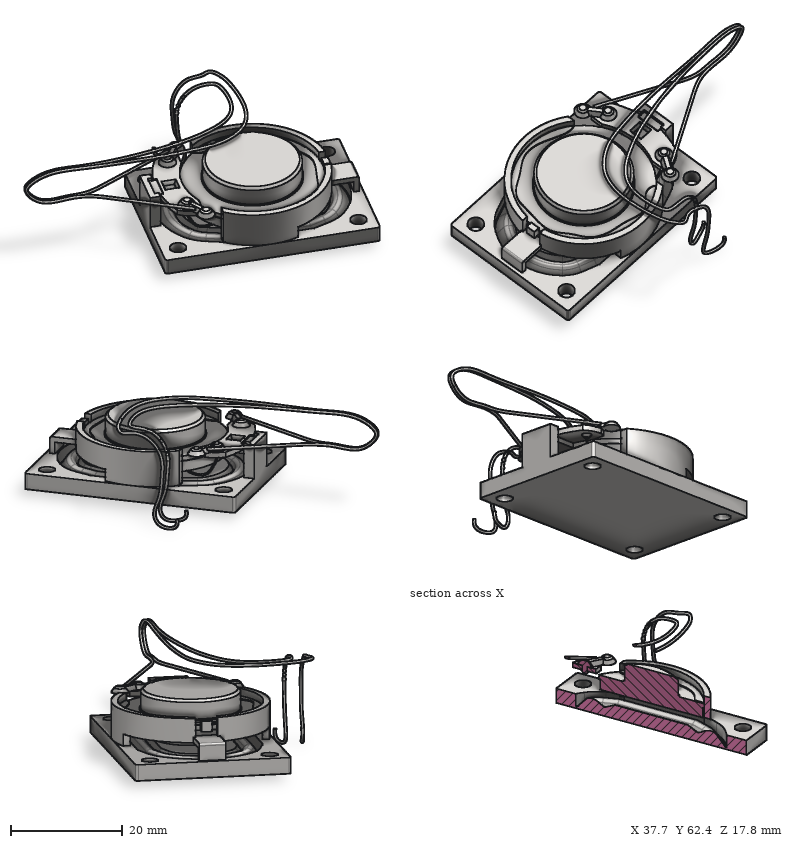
import cadquery as cq
import math

PLATE_WIDTH = 28.6
PLATE_LENGTH = 40.0
PLATE_TOP = 3.0
PLATE_CORNER_RADIUS = 0.5
MOUNT_HOLE_DIAMETER = 3.0
MOUNT_HOLE_X = 11.0
MOUNT_HOLE_Y = 16.8

WALL_OUTER_RADIUS = PLATE_WIDTH / 2
WALL_INNER_RADIUS = 13.1
WALL_TOP = 9.65
WALL_FRONT_Y = -8.5
WALL_RAISED_FROM_Y = 4.9
WALL_RAISED_BOTTOM = 5.2
WALL_NOTCH_WIDTH = 4.1

BRACKET_WIDTH = 4.9
BRACKET_THICKNESS = 1.0
BRACKET_BACK_Y = 19.25
BRACKET_TOP = WALL_RAISED_BOTTOM + BRACKET_THICKNESS
BRACKET_EDGE_RADIUS = 0.4

POST_WIDTH = 7.1
POST_DEPTH = 1.95
POST_TOP = 9.45
POST_INNER_Y = POST_DEPTH - PLATE_LENGTH / 2
TAB_WIDTH = 4.8
TAB_END_Y = POST_INNER_Y - 0.8

RECESS_END_CENTER_Y = 5.75
RECESS_END_RADIUS = 12.25
RECESS_CORNER_RADIUS = 8.0
RECESS_SIDE_ANGLE = 19.5
RECESS_SIDE_DISTANCE = 11.73
RECESS_HALF_WIDTH = 11.5
RIDGE_TOP = 2.97
RIDGE_TAPER = 36
RIDGE_GAP = 0.15
RIDGE_RUN = 1.8
RIDGE_CREST_WIDTH = 1.06
RIDGE_CREST_RADIUS = 1.02
RIDGE_SLOPE = 1 / math.tan(math.radians(RIDGE_TAPER))
RECESS_FLOOR = RIDGE_TOP - RIDGE_RUN * RIDGE_SLOPE
PLATEAU_TOP = 2.9
PLATEAU_INSET = 4.5

SPEAKER_BOTTOM = 5.1
FLANGE_BOTTOM = 7.15
FLANGE_TOP = 8.1
BASKET_RADIUS = 12.9
PEDESTAL_RADIUS = 6.7
MAGNET_RADIUS = 9.0
MAGNET_TOP = 11.88
MAGNET_CHAMFER = 0.5
COLLAR_RADIUS = 9.2
COLLAR_TOP = 8.3
REAR_TAB_WIDTH = 1.9
REAR_TAB_TOP = 9.1
BOARD_TOP = 9.1
BOARD_RADIUS = 18.0
BOARD_CORNER_X = 7.95
BOARD_SIDE_X = 9.13
BOARD_SIDE_Y = -12.6
BOARD_SIDE_MID = (8.93, -14.2)
BOARD_INNER_X = 8.7
BOARD_INNER_Y = -11.6
BOARD_STEP_Y = -17.2
BOARD_TAB_TOP = 8.85
BOARD_POCKET_SIZE = 2.7
BOARD_POCKET_Y = -15.25
BOARD_POCKET_DEPTH = 0.8
BOARD_POCKET_TAPER = 25

GLUE_TOP = COLLAR_TOP

SOLDER_OUTER = (10.56, -11.45)
SOLDER_INNER = (6.8, -14.0)
SOLDER_BASE_RADIUS = 1.6
SOLDER_CROWN_RADIUS = 0.65
SOLDER_TOP = 10.2
SOLDER_SHOULDER_RADIUS = 1.05
SOLDER_SHOULDER_TOP = 9.9
SOLDER_BRIDGE_WIDTH = 1.9
SOLDER_BRIDGE_TOP = 10.0
SOLDER_BRIDGE_TAPER = 30
SOLDER_PIN_RADIUS = 0.5
SOLDER_CONE_RADIUS = 0.9
SOLDER_CONE_TIP_RADIUS = 0.4
SOLDER_CONE_BOTTOM = 7.55

LEAD_DIAMETER = 0.55
BRAID_DIAMETER = 0.3
LEAD_PAIR_X = 0.29
LEAD_LOW_Z = 9.76
LEAD_HIGH_Z = 15.95
FAN_START = (9.4, -13.1)
FAN_END = (1.8, -27.6)
LONG_DROP_X = -22.2
LONG_HOOK_X = -23.11
SHORT_DROP_X = -19.1
SHORT_HOOK_X = -18.1
LONG_RUN = [
    (0.5, -21.2),
    (0.38, -15.6),
    (-0.1, -10.2),
    (-1.0, -5.7),
    (-2.7, -2.5),
    (-4.8, -0.4),
    (-7.6, 0.9),
    (-10.4, 1.38),
    (-14.3, 1.3),
    (-18.4, 0.65),
    (-21.6, -0.6),
    (-22.75, -1.9),
    (-22.2, -3.2),
]
SHORT_RUN = [
    (-1.35, -19.3),
    (-2.4, -14.2),
    (-3.75, -9.7),
    (-5.3, -6.15),
    (-7.15, -3.3),
    (-9.5, -1.45),
    (-12.3, -0.7),
    (-14.9, -0.7),
    (-17.3, -1.1),
    (-18.8, -1.9),
    (-19.15, -3.2),
]


def cylinder(radius, bottom, top):
    return cq.Workplane("XY", origin=(0, 0, bottom)).circle(radius).extrude(top - bottom)


def block(width, y_from, y_to, bottom, top):
    """A box centred on X."""
    return (
        cq.Workplane("XY", origin=(0, (y_from + y_to) / 2, bottom))
        .box(width, abs(y_to - y_from), top - bottom, centered=(True, True, False))
    )


def recess_outline(z):
    """Arc ends blended by tangent corner arcs into slanted sides, alike front and back."""
    angle = math.radians(RECESS_SIDE_ANGLE)
    normal = (math.cos(angle), math.sin(angle))
    along = (-math.sin(angle), math.cos(angle))
    reach = RECESS_END_RADIUS - RECESS_CORNER_RADIUS
    outward = RECESS_SIDE_DISTANCE - RECESS_CORNER_RADIUS
    lift = math.sqrt(reach**2 - outward**2)
    center_x = normal[0] * outward + along[0] * lift
    center_y = RECESS_END_CENTER_Y + normal[1] * outward + along[1] * lift

    def corner_point(direction):
        x = center_x + RECESS_CORNER_RADIUS * math.cos(direction)
        y = center_y + RECESS_CORNER_RADIUS * math.sin(direction)
        return x, y

    end_direction = math.atan2(center_y - RECESS_END_CENTER_Y, center_x)
    shoulder_x, shoulder_y = corner_point(end_direction)
    mid_x, mid_y = corner_point((end_direction + angle) / 2)
    corner_x, corner_y = corner_point(angle)
    waist_x = RECESS_HALF_WIDTH
    waist_y = corner_y - (waist_x - corner_x) / math.tan(angle)
    end_y = RECESS_END_CENTER_Y + RECESS_END_RADIUS
    return (
        cq.Workplane("XY", origin=(0, 0, z))
        .moveTo(-shoulder_x, shoulder_y)
        .threePointArc((0, end_y), (shoulder_x, shoulder_y))
        .threePointArc((mid_x, mid_y), (corner_x, corner_y))
        .lineTo(waist_x, waist_y)
        .lineTo(waist_x, -waist_y)
        .lineTo(corner_x, -corner_y)
        .threePointArc((mid_x, -mid_y), (shoulder_x, -shoulder_y))
        .threePointArc((0, -end_y), (-shoulder_x, -shoulder_y))
        .threePointArc((-mid_x, -mid_y), (-corner_x, -corner_y))
        .lineTo(-waist_x, -waist_y)
        .lineTo(-waist_x, waist_y)
        .lineTo(-corner_x, corner_y)
        .threePointArc((-mid_x, mid_y), (-shoulder_x, shoulder_y))
        .close()
    )


def tapered_island(top, top_inset):
    """A block on the recess floor whose sloping sides end at the given inset from the recess rim."""
    base_inset = top_inset - (top - RECESS_FLOOR) / RIDGE_SLOPE
    return (
        recess_outline(RECESS_FLOOR)
        .offset2D(-base_inset)
        .extrude(top - RECESS_FLOOR, taper=RIDGE_TAPER)
    )


def recess():
    """The space cut out of the plate: a pit less the rounded ridge and the plateau inside it."""
    crest_inset = RIDGE_GAP + RIDGE_RUN
    bowl = (
        recess_outline(RIDGE_TOP)
        .offset2D(-crest_inset - RIDGE_CREST_WIDTH)
        .extrude(RECESS_FLOOR - RIDGE_TOP, taper=RIDGE_TAPER)
    )
    ridge = tapered_island(RIDGE_TOP, crest_inset).cut(bowl)
    ridge = ridge.faces(">Z").edges().fillet(RIDGE_CREST_RADIUS)
    plateau = tapered_island(PLATEAU_TOP, PLATEAU_INSET)
    pit = recess_outline(RECESS_FLOOR).extrude(PLATE_TOP - RECESS_FLOOR)
    return pit.cut(ridge).cut(plateau)


def make_housing():
    plate = (
        cq.Workplane("XY")
        .box(PLATE_WIDTH, PLATE_LENGTH, PLATE_TOP, centered=(True, True, False))
        .edges("|Z")
        .fillet(PLATE_CORNER_RADIUS)
        .cut(recess())
        .faces("<Z")
        .workplane(origin=(0, 0, 0))
        .rect(2 * MOUNT_HOLE_X, 2 * MOUNT_HOLE_Y, forConstruction=True)
        .vertices()
        .hole(MOUNT_HOLE_DIAMETER)
    )
    wall = cylinder(WALL_OUTER_RADIUS, PLATE_TOP, WALL_TOP)
    wall = wall.cut(cylinder(WALL_INNER_RADIUS, PLATE_TOP, WALL_TOP))
    wall = wall.cut(block(PLATE_WIDTH, WALL_FRONT_Y, -PLATE_LENGTH / 2, PLATE_TOP, WALL_TOP))
    wall = wall.cut(
        block(PLATE_WIDTH, WALL_RAISED_FROM_Y, PLATE_LENGTH / 2, PLATE_TOP, WALL_RAISED_BOTTOM)
    )
    wall = wall.cut(block(WALL_NOTCH_WIDTH, 0, PLATE_LENGTH / 2, BRACKET_TOP, WALL_TOP))

    bracket = block(BRACKET_WIDTH, 0, BRACKET_BACK_Y, PLATE_TOP, BRACKET_TOP)
    bracket = bracket.edges(">Y and >Z").fillet(BRACKET_EDGE_RADIUS)
    bracket = bracket.cut(
        block(BRACKET_WIDTH, 0, BRACKET_BACK_Y - BRACKET_THICKNESS, PLATE_TOP, WALL_RAISED_BOTTOM)
    )
    bracket = bracket.cut(cylinder(WALL_INNER_RADIUS, PLATE_TOP, BRACKET_TOP))

    post = block(POST_WIDTH, -PLATE_LENGTH / 2, POST_INNER_Y, 0, POST_TOP)
    post = post.cut(block(TAB_WIDTH, TAB_END_Y, POST_INNER_Y, FLANGE_BOTTOM, POST_TOP))
    return plate.union(wall).union(bracket).union(post)


def make_board():
    """The terminal board: a crescent in front of the basket with a tapered pocket and solder holes."""
    mid_x, mid_y = BOARD_SIDE_MID
    corner_y = -math.sqrt(BOARD_RADIUS**2 - BOARD_CORNER_X**2)
    board = (
        cq.Workplane("XY", origin=(0, 0, FLANGE_TOP))
        .moveTo(-BOARD_CORNER_X, corner_y)
        .threePointArc((0, -BOARD_RADIUS), (BOARD_CORNER_X, corner_y))
        .threePointArc((mid_x, mid_y), (BOARD_SIDE_X, BOARD_SIDE_Y))
        .lineTo(BOARD_INNER_X, BOARD_INNER_Y)
        .lineTo(-BOARD_INNER_X, BOARD_INNER_Y)
        .lineTo(-BOARD_SIDE_X, BOARD_SIDE_Y)
        .threePointArc((-mid_x, mid_y), (-BOARD_CORNER_X, corner_y))
        .close()
        .extrude(BOARD_TOP - FLANGE_TOP)
        .cut(cylinder(WALL_INNER_RADIUS, FLANGE_TOP, BOARD_TOP))
    )
    board = board.cut(block(TAB_WIDTH, -BOARD_RADIUS, BOARD_STEP_Y, FLANGE_TOP, BOARD_TOP))
    board = board.union(block(TAB_WIDTH, TAB_END_Y, BOARD_STEP_Y, FLANGE_TOP, BOARD_TAB_TOP))
    pocket = (
        cq.Workplane("XY", origin=(0, BOARD_POCKET_Y, BOARD_TOP))
        .rect(BOARD_POCKET_SIZE, BOARD_POCKET_SIZE)
        .extrude(-BOARD_POCKET_DEPTH, taper=BOARD_POCKET_TAPER)
    )
    board = board.cut(pocket)
    for side in (-1, 1):
        x, y = SOLDER_INNER
        hole = cylinder(SOLDER_PIN_RADIUS, FLANGE_TOP, BOARD_TOP)
        board = board.cut(hole.translate((side * x, y, 0)))
    return board


def make_speaker():
    basket = cylinder(BASKET_RADIUS, SPEAKER_BOTTOM, FLANGE_BOTTOM)
    flange = cylinder(WALL_INNER_RADIUS, FLANGE_BOTTOM, FLANGE_TOP)
    magnet = cylinder(MAGNET_RADIUS, FLANGE_BOTTOM, MAGNET_TOP)
    magnet = magnet.faces(">Z").chamfer(MAGNET_CHAMFER)
    collar = cylinder(COLLAR_RADIUS, FLANGE_BOTTOM, COLLAR_TOP)
    pedestal = cylinder(PEDESTAL_RADIUS, PLATEAU_TOP, SPEAKER_BOTTOM)
    rear_tab = block(REAR_TAB_WIDTH, 0, WALL_OUTER_RADIUS, FLANGE_BOTTOM, REAR_TAB_TOP)
    rear_tab = rear_tab.cut(cylinder(WALL_INNER_RADIUS, FLANGE_TOP, REAR_TAB_TOP))
    front_tab = block(TAB_WIDTH, TAB_END_Y, 0, FLANGE_BOTTOM, FLANGE_TOP)
    speaker = basket.union(flange).union(magnet).union(collar).union(pedestal)
    return speaker.union(rear_tab).union(front_tab).union(make_board())


def make_glue():
    """A thin bead lying along the cradle wall with a free-form inner edge."""
    start_x = math.sqrt(WALL_INNER_RADIUS**2 - WALL_FRONT_Y**2)
    inner_edge = [
        (9.8, -7.3),
        (10.95, -3.75),
        (12.25, 0.0),
        (11.95, 2.9),
        (10.2, 5.75),
        (8.6, 8.6),
        (6.8, 10.3),
        (3.4, 11.1),
        (-1.2, 11.8),
        (-2.6, 11.6),
        (-5.7, 9.75),
        (-8.7, 8.0),
        (-10.5, 4.9),
        (-11.2, 1.2),
        (-11.8, -3.3),
        (-9.5, -6.3),
        (-9.65, -8.2),
    ]
    return (
        cq.Workplane("XY", origin=(0, 0, FLANGE_TOP))
        .moveTo(-start_x, WALL_FRONT_Y)
        .threePointArc((0, WALL_INNER_RADIUS), (start_x, WALL_FRONT_Y))
        .spline(inner_edge, includeCurrent=True)
        .close()
        .extrude(GLUE_TOP - FLANGE_TOP)
    )


def frustum(center, radius, bottom, end_radius, end):
    """A round tapered solid from one height to another, upward or downward."""
    axis = cq.Vector(0, 0, math.copysign(1, end - bottom))
    start = cq.Vector(*center, bottom)
    return cq.Workplane(obj=cq.Solid.makeCone(radius, end_radius, abs(end - bottom), start, axis))


def make_solder(side, lead):
    """Two domed lobes and a bridge that grips the lead, with a pin through the board and a cone below."""
    outer = (side * SOLDER_OUTER[0], SOLDER_OUTER[1])
    inner = (side * SOLDER_INNER[0], SOLDER_INNER[1])
    dx = outer[0] - inner[0]
    dy = outer[1] - inner[1]
    bridge = (
        cq.Workplane("XY", origin=(inner[0] + dx / 2, inner[1] + dy / 2, BOARD_TOP))
        .transformed(rotate=(0, 0, math.degrees(math.atan2(dy, dx))))
        .rect(math.hypot(dx, dy), SOLDER_BRIDGE_WIDTH)
        .extrude(SOLDER_BRIDGE_TOP - BOARD_TOP, taper=SOLDER_BRIDGE_TAPER)
    )
    joint = bridge
    for center in (outer, inner):
        lobe = frustum(
            center, SOLDER_BASE_RADIUS, BOARD_TOP, SOLDER_SHOULDER_RADIUS, SOLDER_SHOULDER_TOP
        )
        crown = frustum(
            center, SOLDER_SHOULDER_RADIUS, SOLDER_SHOULDER_TOP, SOLDER_CROWN_RADIUS, SOLDER_TOP
        )
        joint = joint.union(lobe).union(crown)
    pin = cylinder(SOLDER_PIN_RADIUS, FLANGE_TOP, BOARD_TOP).translate((*inner, 0))
    cone = frustum(inner, SOLDER_CONE_RADIUS, FLANGE_TOP, SOLDER_CONE_TIP_RADIUS, SOLDER_CONE_BOTTOM)
    return joint.union(pin).union(cone).cut(lead)


def swept_wire(path, diameter):
    plane = cq.Plane(origin=path.startPoint(), normal=path.tangentAt(0))
    return cq.Workplane(plane).circle(diameter / 2).sweep(cq.Workplane(obj=path))


def curve(points, start_tangent, end_tangent=None):
    points = [cq.Vector(*point) for point in points]
    free_tangents = [None] * (len(points) - 2)
    return cq.Edge.makeSpline(points, tangents=[start_tangent, *free_tangents, end_tangent])


def lead_fan(side):
    """The straight stretch of a lead, from its solder joint towards the other lead."""
    start = cq.Vector(side * FAN_START[0], FAN_START[1], LEAD_LOW_Z)
    end = cq.Vector(side * FAN_END[0], FAN_END[1], LEAD_LOW_Z)
    return start, end


def make_lead(side, run_points, drop_x, hook_x):
    """One lead: solder joint, fan-in, loop, run over the speaker, drop and hooked end."""
    pair_x = side * LEAD_PAIR_X
    fan_start, fan_end = lead_fan(side)
    loop = [
        (side * 0.45, -31.2, LEAD_LOW_Z),
        (pair_x, -34.0, LEAD_LOW_Z),
        (pair_x, -38.9, 9.75),
        (pair_x, -41.2, 11.2),
        (pair_x, -42.13, 13.0),
        (pair_x, -40.6, 14.7),
        (pair_x, -35.5, 16.02),
        (pair_x, -32.0, LEAD_HIGH_Z),
    ]
    run = [(x, y, LEAD_HIGH_Z) for x, y in run_points]
    drop = [
        (drop_x, -6.1, 15.35),
        (drop_x, -8.0, 13.6),
        (drop_x, -8.95, 11.0),
        (drop_x, -8.9, 8.0),
        (drop_x, -8.3, 3.9),
        (drop_x, -7.55, 0.4),
        (drop_x, -8.1, -0.6),
    ]
    half_x = (drop_x + hook_x) / 2
    hook = [(half_x, -9.8, -1.17), (hook_x, -11.8, -0.6), (hook_x, -12.1, 0.8)]
    fan = cq.Edge.makeLine(fan_start, fan_end)
    rest = curve([fan_end.toTuple()] + loop + run + drop + hook, fan_end - fan_start)
    return swept_wire(cq.Wire.assembleEdges([fan, rest]), LEAD_DIAMETER)


def make_braid(side):
    """The fine wire that hangs from the solder cone and curls up to the basket's underside."""
    x = side * SOLDER_INNER[0]
    y = SOLDER_INNER[1]
    points = [
        (x, y, SOLDER_CONE_BOTTOM),
        (x, -13.5, 6.0),
        (x, -12.2, 4.2),
        (x, -10.5, 3.75),
        (x, -8.9, 4.1),
        (x, -8.3, SPEAKER_BOTTOM),
    ]
    return swept_wire(curve(points, cq.Vector(0, 0, -1), cq.Vector(0, 0, 1)), BRAID_DIAMETER)


housing = make_housing()
speaker = make_speaker()
glue = make_glue()
leads = [
    make_lead(1, LONG_RUN, LONG_DROP_X, LONG_HOOK_X),
    make_lead(-1, SHORT_RUN, SHORT_DROP_X, SHORT_HOOK_X),
]
solders = [make_solder(side, lead) for side, lead in zip((1, -1), leads)]
braids = [make_braid(side) for side in (1, -1)]

result = cq.Compound.makeCompound(
    [body.val() for body in [housing, speaker, glue, *solders, *leads, *braids]]
)